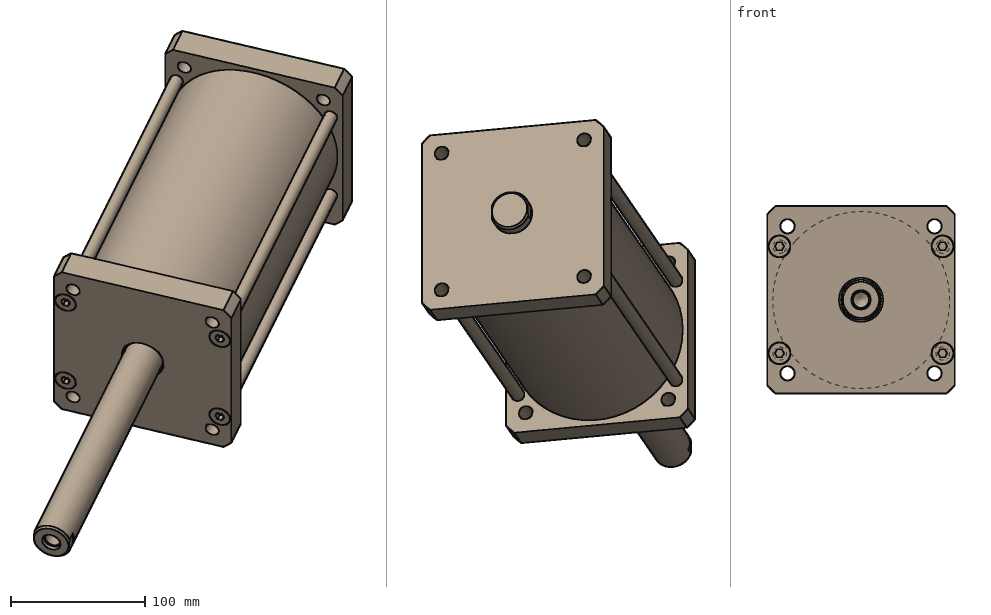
import cadquery as cq
import math


rod_length = 498.0
rod_diameter = 30.0
rod_chamfer = 1.5
flat_depth = 1.0
flat_length = 9.0
front_end_y = -rod_length / 2
rear_end_y = rod_length / 2

thread_diameter = 12.0
thread_mouth_diameter = 14.5
thread_mouth_depth = 3.5
thread_depth = 30.0
drill_point_angle = 118.0

plate_side = 140.0
plate_thickness = 22.0
plate_turned_diameter = 189.0
rear_projection = 10.0
front_plate_outer_y = -39.0
rear_plate_outer_y = rear_end_y - rear_projection
rear_plate_inner_y = rear_plate_outer_y - plate_thickness
front_plate_inner_y = front_plate_outer_y + plate_thickness
bore_clearance_diameter = 33.0
bore_clearance_depth = 2.5

barrel_diameter = 132.0

tie_x = 61.0
tie_z = 40.0
tie_diameter = 10.0
counterbore_diameter = 16.5
head_diameter = 16.0
head_height = 10.0
socket_across_flats = 6.0
socket_sides = 6
socket_depth = 5.0

mount_offset = 55.0
mount_diameter = 10.5


def section_plane(y):
    """XZ sketch plane at the given Y; positive extrusion runs towards +Y."""
    return cq.Workplane(cq.Plane(origin=(0, y, 0), xDir=(-1, 0, 0), normal=(0, 1, 0)))


def four_points(x, z):
    """Points mirrored into the four quadrants around the rod axis."""
    return [(sx * x, sz * z) for sx in (-1, 1) for sz in (-1, 1)]


def end_plate(front_y):
    """Square plate with its corners turned round, and four mounting holes."""
    profile = section_plane(front_y)
    plate = profile.rect(plate_side, plate_side).extrude(plate_thickness)
    plate = plate.intersect(profile.circle(plate_turned_diameter / 2).extrude(plate_thickness))
    holes = profile.pushPoints(four_points(mount_offset, mount_offset)).circle(mount_diameter / 2)
    return plate.cut(holes.extrude(plate_thickness))


def rod_blank():
    """Round rod with both ends chamfered."""
    rod = section_plane(front_end_y).circle(rod_diameter / 2).extrude(rod_length)
    return rod.faces("<Y or >Y").chamfer(rod_chamfer)


def wrench_flats(start_y):
    """Material removed on both X sides of the rod to leave two flats."""
    across_flats = rod_diameter - 2 * flat_depth
    stock_side = 2 * rod_diameter
    profile = section_plane(start_y)
    stock = profile.rect(stock_side, stock_side).extrude(flat_length)
    return stock.cut(profile.rect(across_flats, stock_side).extrude(flat_length))


def threaded_hole():
    """Blind hole with a wider, counterbored mouth and a conical bottom."""
    radius = thread_diameter / 2
    mouth_radius = thread_mouth_diameter / 2
    bottom_y = front_end_y + thread_depth
    tip_y = bottom_y + radius / math.tan(math.radians(drill_point_angle / 2))
    return (
        cq.Workplane("XY")
        .moveTo(0, front_end_y)
        .lineTo(mouth_radius, front_end_y)
        .lineTo(mouth_radius, front_end_y + thread_mouth_depth)
        .lineTo(radius, front_end_y + thread_mouth_depth)
        .lineTo(radius, bottom_y)
        .lineTo(0, tip_y)
        .close()
        .revolve(360, (0, 0, 0), (0, 1, 0))
    )


def bore_clearance():
    """Narrow ring around the rod in the outer face of the front plate."""
    return (
        section_plane(front_plate_outer_y)
        .circle(bore_clearance_diameter / 2)
        .circle(rod_diameter / 2)
        .extrude(bore_clearance_depth)
    )


def screw_recesses():
    """Gap around each screw head, plus the hexagon socket in the head."""
    heads = section_plane(front_plate_outer_y).pushPoints(four_points(tie_x, tie_z))
    gaps = heads.circle(counterbore_diameter / 2).extrude(head_height)
    gaps = gaps.cut(heads.circle(head_diameter / 2).extrude(head_height))
    across_corners = socket_across_flats / math.cos(math.pi / socket_sides)
    return gaps.union(heads.polygon(socket_sides, across_corners).extrude(socket_depth))


between_plates = rear_plate_inner_y - front_plate_inner_y
barrel = section_plane(front_plate_inner_y).circle(barrel_diameter / 2).extrude(between_plates)
tie_rods = (
    section_plane(front_plate_inner_y)
    .pushPoints(four_points(tie_x, tie_z))
    .circle(tie_diameter / 2)
    .extrude(between_plates)
)

result = (
    end_plate(front_plate_outer_y)
    .union(end_plate(rear_plate_inner_y))
    .union(barrel)
    .union(tie_rods)
    .union(rod_blank())
    .cut(wrench_flats(front_end_y))
    .cut(wrench_flats(rear_end_y - flat_length))
    .cut(threaded_hole())
    .cut(bore_clearance())
    .cut(screw_recesses())
)